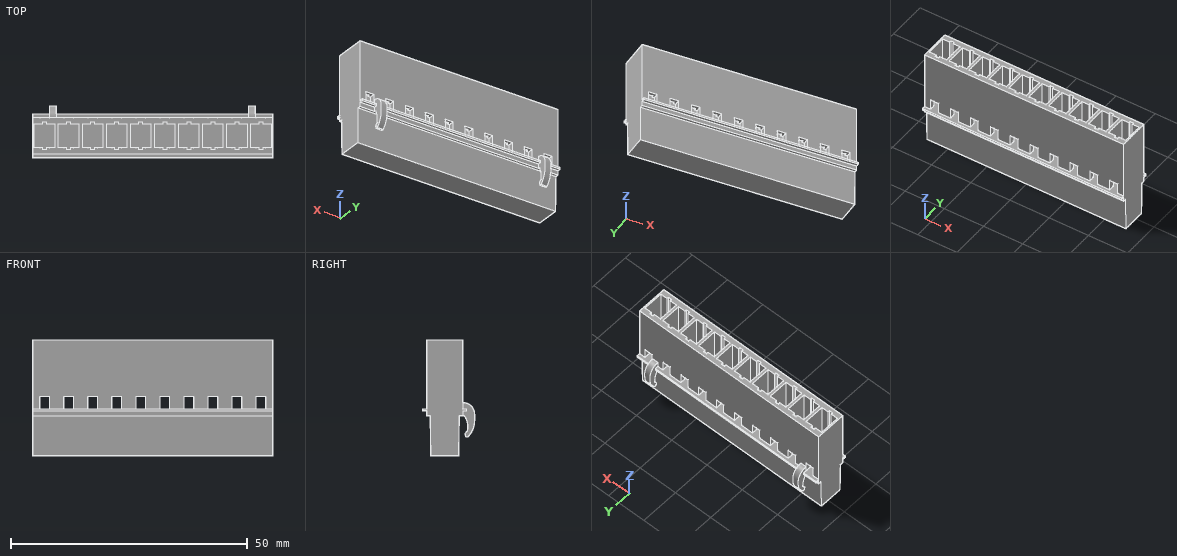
import cadquery as cq
import math

pole_count = 10
pole_pitch = 5.08
length = pole_count * pole_pitch
height = 24.55

body_depth = 7.7
body_bottom = 8.45
plug_depth_top = 6.2
plug_depth_bottom = 5.95

rail_reach = 0.8
rail_bottom = 9.5
rail_top = 9.95

chamber_width = 4.4
chamber_depth = 5.0
chamber_floor = rail_top
groove_width = 0.85
groove_depth = 0.43

window_width = 2.0
window_height = 2.6

hook_width = 1.5
hook_reach = 2.5
hook_centers = (-21.1, 20.95)
hook_top = 11.3
hook_bend = 7.5
hook_tip = 4.0
hook_nose = 4.7
hook_throat_bottom = 5.3
hook_throat_top = 7.1

hook_tip_outer = 1.05
hook_tip_inner = 0.6
hook_nose_gap = 0.4
hook_throat = 0.9
hook_root_gap = 0.3

mid_y = body_depth / 2
pole_centers = [(i - (pole_count - 1) / 2) * pole_pitch for i in range(pole_count)]


def box(x_center, x_size, y_size, z_low, z_high):
    """Block centred on the mid-plane of the housing, from z_low to z_high."""
    block = cq.Workplane("XY", origin=(x_center, mid_y, z_low))
    return block.rect(x_size, y_size).extrude(z_high - z_low)


def make_plug():
    """Tapered lower part, narrowing towards the underside."""
    half_top = plug_depth_top / 2
    half_bottom = plug_depth_bottom / 2
    outline = [
        (mid_y - half_bottom, 0),
        (mid_y + half_bottom, 0),
        (mid_y + half_top, body_bottom),
        (mid_y - half_top, body_bottom),
    ]
    return cq.Workplane("YZ").polyline(outline).close().extrude(length / 2, both=True)


def make_hook(x_center):
    """Curved latch that leaves the back wall and hangs down beside the plug."""
    crest_y = body_depth + hook_reach
    crest_z = hook_top - hook_reach
    shoulder = hook_reach * math.sqrt(0.5)
    profile = (
        cq.Workplane("YZ", origin=(x_center, 0, 0))
        .moveTo(mid_y, hook_top)
        .lineTo(body_depth, hook_top)
        .threePointArc((body_depth + shoulder, crest_z + shoulder), (crest_y, crest_z))
        .lineTo(crest_y, hook_bend)
        .tangentArcPoint((body_depth + hook_tip_outer, hook_tip), relative=False)
        .lineTo(body_depth + hook_tip_inner, hook_tip)
        .lineTo(body_depth + hook_nose_gap, hook_nose)
        .lineTo(body_depth + hook_throat, hook_throat_bottom)
        .threePointArc(
            (body_depth + hook_throat, hook_throat_top),
            (body_depth + hook_root_gap, body_bottom),
        )
        .lineTo(mid_y, body_bottom)
        .close()
    )
    return profile.extrude(hook_width / 2, both=True)


def make_chamber(x_center):
    """Void of one pole: chamber, key grooves and the window across it."""
    chamber = box(x_center, chamber_width, chamber_depth, chamber_floor, height)
    grooves = box(x_center, groove_width, chamber_depth + 2 * groove_depth, chamber_floor, height)
    window = box(x_center, window_width, body_depth, chamber_floor, chamber_floor + window_height)
    return chamber.union(grooves).union(window)


housing = box(0, length, body_depth, body_bottom, height)
housing = housing.union(make_plug())
housing = housing.union(box(0, length, body_depth + 2 * rail_reach, rail_bottom, rail_top))
for hook_x in hook_centers:
    housing = housing.union(make_hook(hook_x))
for pole_x in pole_centers:
    housing = housing.cut(make_chamber(pole_x))

result = housing